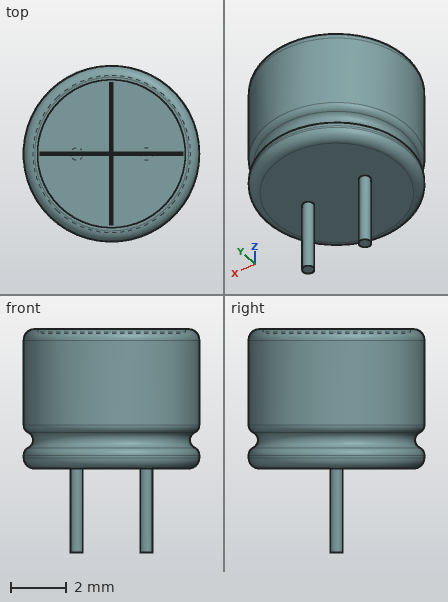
import cadquery as cq
import math

total_height = 8
can_diameter = 6.3
can_radius = can_diameter / 2
lead_length = 3.0
edge_radius = 0.4

groove_center_z = 4.02
crimp_arc_radius = 0.3
crimp_arc_height = 0.27

recess_diameter = 5.3
recess_depth = 0.1
vent_length = 5.09
vent_width = 0.11
vent_depth = vent_width / 2

lead_diameter = 0.45
lead_pitch = 2.5


def make_can():
    """Revolve the half section of the can about Z."""
    flat_radius = can_radius - edge_radius
    edge_mid = edge_radius * (1 - math.sqrt(0.5))

    arc_angle = math.asin(crimp_arc_height / crimp_arc_radius)
    arc_drop = crimp_arc_radius * (1 - math.cos(arc_angle))
    half_drop = crimp_arc_radius * (1 - math.cos(arc_angle / 2))
    half_rise = crimp_arc_radius * math.sin(arc_angle / 2)
    inflection_radius = can_radius - arc_drop
    groove_radius = inflection_radius - arc_drop
    lip_offset = 2 * crimp_arc_height
    lower_lip_z = groove_center_z - lip_offset
    upper_lip_z = groove_center_z + lip_offset

    profile = (
        cq.Workplane("XZ")
        .moveTo(0, lead_length)
        .lineTo(flat_radius, lead_length)
        .threePointArc(
            (can_radius - edge_mid, lead_length + edge_mid),
            (can_radius, lead_length + edge_radius),
        )
        .lineTo(can_radius, lower_lip_z)
        .threePointArc(
            (can_radius - half_drop, lower_lip_z + half_rise),
            (inflection_radius, groove_center_z - crimp_arc_height),
        )
        .threePointArc(
            (groove_radius, groove_center_z),
            (inflection_radius, groove_center_z + crimp_arc_height),
        )
        .threePointArc(
            (can_radius - half_drop, upper_lip_z - half_rise),
            (can_radius, upper_lip_z),
        )
        .lineTo(can_radius, total_height - edge_radius)
        .threePointArc(
            (can_radius - edge_mid, total_height - edge_mid),
            (flat_radius, total_height),
        )
        .lineTo(0, total_height)
        .close()
    )
    return profile.revolve(360, (0, 0, 0), (0, 1, 0))


def make_vent(panel_z):
    """V-shaped groove along X, with ends sloping up to the panel like its walls."""
    half_length = vent_length / 2
    half_width = vent_width / 2
    bottom_z = panel_z - vent_depth
    bottom_half_length = half_length - vent_depth
    cross_section = (
        cq.Workplane("YZ")
        .polyline([(-half_width, panel_z), (half_width, panel_z), (0, bottom_z)])
        .close()
        .extrude(half_length, both=True)
    )
    long_section = (
        cq.Workplane("XZ")
        .polyline([
            (-half_length, panel_z),
            (half_length, panel_z),
            (bottom_half_length, bottom_z),
            (-bottom_half_length, bottom_z),
        ])
        .close()
        .extrude(half_width, both=True)
    )
    return cross_section.intersect(long_section)


def cut_top(can):
    """Sink the round top panel and score the two crossed vent grooves into it."""
    panel_z = total_height - recess_depth
    recess = cq.Workplane("XY", origin=(0, 0, panel_z)).circle(recess_diameter / 2).extrude(recess_depth)
    can = can.cut(recess)
    vent = make_vent(panel_z)
    for angle in (0, 90):
        can = can.cut(vent.rotate((0, 0, 0), (0, 0, 1), angle))
    return can


def make_leads():
    """Two round leads on the X axis, from the lead tips up to the can base."""
    return (
        cq.Workplane("XY")
        .pushPoints([(-lead_pitch / 2, 0), (lead_pitch / 2, 0)])
        .circle(lead_diameter / 2)
        .extrude(lead_length)
    )


result = cut_top(make_can()).union(make_leads())